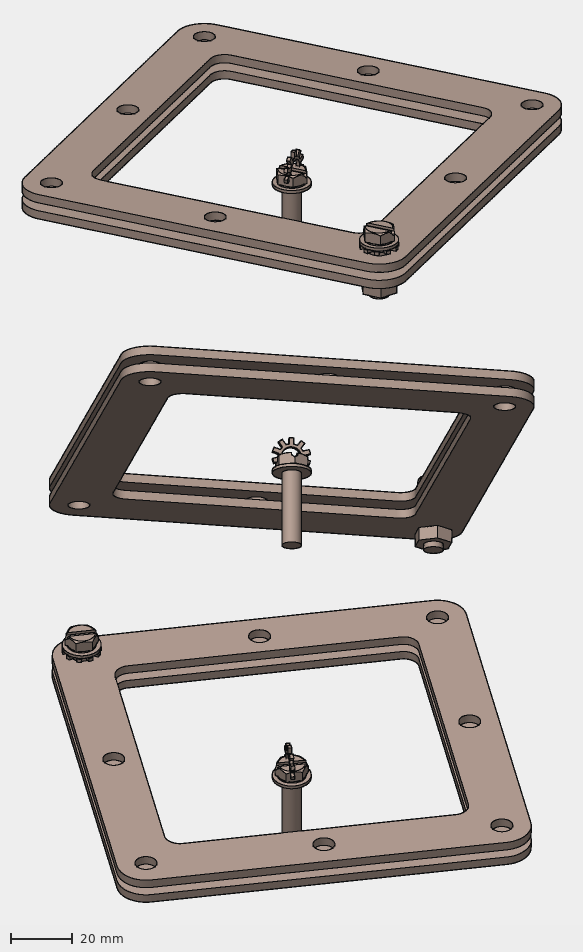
import cadquery as cq
import math

frame_side = 136.5
opening_side = 100.2
opening_radius = 5.0
plate_thickness = 3.0
plate_gap = 2.9
hole_diameter = 7.1
hole_offset = 58.7
corner_radius = frame_side / 2 - hole_offset

shank_diameter = 6.4
head_width = 9.5
head_height = 4.0
head_chamfer = 1.1
head_chamfer_height = 0.5
slot_width = 2.0
slot_wall = 1.0
flange_diameter = 12.7
flange_thickness = 1.1
neck_height = 0.5
clamp_shank_length = 19.0
loose_shank_length = 25.0

washer_hole = shank_diameter
washer_ring_diameter = 8.5
washer_diameter = 12.7
washer_thickness = 1.2
washer_drop = 1.0
tooth_count = 10
tooth_width = 1.5
tooth_overlap = 0.4

nut_width = 10.9
nut_height = 4.4
nut_gap = 0.7

upper_plate_z = plate_thickness + plate_gap
clamp_seat_z = 12.0
assembly_height = 48.6
clamp_top_z = clamp_seat_z + flange_thickness + neck_height + head_height
loose_seat_z = clamp_top_z - assembly_height + loose_shank_length
clamp_washer_z = clamp_seat_z - washer_drop
loose_washer_x = 0.7
loose_washer_z = 0.0


def hexagon(width, height):
    """Hexagonal prism standing on Z = 0, with two of its flats facing -Y and +Y."""
    return cq.Workplane("XY").polygon(6, width / math.cos(math.pi / 6)).extrude(height)


def make_plate(base_z, hole_points):
    outline = cq.Workplane("XY").rect(frame_side, frame_side).extrude(plate_thickness)
    outline = outline.edges("|Z").fillet(corner_radius)
    opening = cq.Workplane("XY").rect(opening_side, opening_side).extrude(plate_thickness)
    opening = opening.edges("|Z").fillet(opening_radius)
    holes = cq.Workplane("XY").pushPoints(hole_points).circle(hole_diameter / 2).extrude(plate_thickness)
    return outline.cut(opening).cut(holes).translate((0, 0, base_z))


def make_screw(shank_length):
    """Screw on the Z axis with the underside of its flange at Z = 0."""
    shank = cq.Workplane("XY").circle(shank_diameter / 2).extrude(-shank_length)
    flange = cq.Workplane("XY").circle(flange_diameter / 2).extrude(flange_thickness)
    head_base_z = flange_thickness + neck_height
    neck = cq.Workplane("XY").circle(head_width / 2).extrude(head_base_z)
    corner = head_width / 2 / math.cos(math.pi / 6)
    rounded = cq.Workplane("XY").circle(corner).extrude(head_height)
    rounded = rounded.faces(">Z").chamfer(head_chamfer_height, head_chamfer)
    head = hexagon(head_width, head_height).intersect(rounded)
    wall_z = head_height - slot_wall
    slot = (
        cq.Workplane("YZ")
        .moveTo(-slot_width / 2, head_height)
        .lineTo(-slot_width / 2, wall_z)
        .lineTo(0, wall_z - slot_width / 2)
        .lineTo(slot_width / 2, wall_z)
        .lineTo(slot_width / 2, head_height)
        .close()
        .extrude(corner, both=True)
    )
    head = head.cut(slot)
    return shank.union(flange).union(neck).union(head.translate((0, 0, head_base_z)))


def make_washer():
    """Lock washer centred on the origin, its axis along Z, with straight teeth around its rim."""
    washer = cq.Workplane("XY").circle(washer_ring_diameter / 2).extrude(washer_thickness / 2, both=True)
    inner = washer_ring_diameter / 2 - tooth_overlap
    length = washer_diameter / 2 - inner
    tooth = cq.Workplane("XY").box(length, tooth_width, washer_thickness)
    tooth = tooth.translate((inner + length / 2, 0, 0))
    for i in range(tooth_count):
        angle = i * 360 / tooth_count
        washer = washer.union(tooth.rotate((0, 0, 0), (0, 0, 1), angle))
    hole = cq.Workplane("XY").circle(washer_hole / 2).extrude(washer_thickness, both=True)
    return washer.cut(hole)


def make_nut():
    hole = cq.Workplane("XY").circle(shank_diameter / 2).extrude(nut_height)
    return hexagon(nut_width, nut_height).cut(hole)


corner_points = [(x * hole_offset, y * hole_offset) for x in (-1, 1) for y in (-1, 1)]
middle_points = [(hole_offset, 0), (-hole_offset, 0), (0, hole_offset), (0, -hole_offset)]
clamp_x, clamp_y = hole_offset, -hole_offset

lower_plate = make_plate(0, corner_points)
upper_plate = make_plate(upper_plate_z, corner_points + middle_points)

clamp_screw = make_screw(clamp_shank_length).translate((clamp_x, clamp_y, clamp_seat_z))
clamp_washer = make_washer().translate((clamp_x, clamp_y, clamp_washer_z))
nut = make_nut().translate((clamp_x, clamp_y, -nut_gap - nut_height))

loose_washer = make_washer().rotate((0, 0, 0), (0, 1, 0), -90)
loose_washer = loose_washer.translate((loose_washer_x, 0, loose_washer_z))
loose_screw = make_screw(loose_shank_length).translate((0, 0, loose_seat_z)).cut(loose_washer)

bodies = [lower_plate, upper_plate, clamp_screw, clamp_washer, nut, loose_screw, loose_washer]
result = cq.Compound.makeCompound([body.val() for body in bodies])